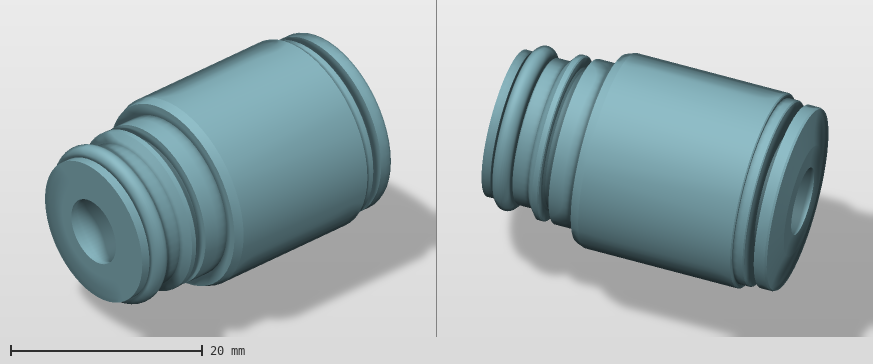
import cadquery as cq

bore_dia = 7.3
plug_dia = 15.9
seal_groove_dia = 13.0
seal_ring_dia = 17.8
shoulder_dia = 17.9
clip_groove_dia = 15.0
body_dia = 21.1
body_chamfer_dia = 20.4
collar_dia = 20.1
neck_dia = 13.4
neck_root_dia = 13.93
button_dia = 19.8
button_face_dia = 12.0

seal_groove_start = 0.98
seal_groove_end = 3.37
cone_start = 5.1
cone_end = 5.92
clip_groove_start = 6.6
clip_groove_end = 7.75
body_start = 10.63
body_chamfer_end = 11.58
body_end = 28.48
collar_end = 29.7
button_start = 30.75
button_rim_round_start = 31.9
button_rim_end = 32.15
length = 32.7

button_rim_inset = 0.1
neck_flare_length = 0.43
clip_groove_flare = 0.23
seal_ring_width = 1.83
edge_break = 0.13

center_y = length / 2


def revolve_about_axis(profile):
    return profile.close().revolve(360, (0, 0, 0), (0, 1, 0))


def make_body():
    """Solid turned body, given as (diameter, station) from plug face to button face."""
    steps = [
        (0, 0),
        (plug_dia, 0),
        (plug_dia, seal_groove_start),
        (seal_groove_dia, seal_groove_start),
        (seal_groove_dia, seal_groove_end),
        (plug_dia - 2 * edge_break, seal_groove_end),
        (plug_dia, seal_groove_end + edge_break),
        (plug_dia, cone_start),
        (shoulder_dia, cone_end),
        (shoulder_dia, clip_groove_start - edge_break),
        (shoulder_dia - 2 * edge_break, clip_groove_start),
        (clip_groove_dia + 2 * clip_groove_flare, clip_groove_start),
        (clip_groove_dia, clip_groove_start + clip_groove_flare),
        (clip_groove_dia, clip_groove_end - clip_groove_flare),
        (clip_groove_dia + 2 * clip_groove_flare, clip_groove_end),
        (shoulder_dia, clip_groove_end),
        (shoulder_dia, body_start),
        (body_chamfer_dia, body_start),
        (body_dia, body_chamfer_end),
        (body_dia, body_end - edge_break),
        (body_dia - 2 * edge_break, body_end),
        (collar_dia, body_end),
        (collar_dia, collar_end - edge_break),
        (collar_dia - 2 * edge_break, collar_end),
        (neck_dia, collar_end),
        (neck_dia, button_start - neck_flare_length),
        (neck_root_dia, button_start),
        (button_dia, button_start),
        (button_dia, button_rim_round_start),
        (button_dia - 2 * button_rim_inset, button_rim_end),
        (button_face_dia, length),
        (0, length),
    ]
    points = [(diameter / 2, station - center_y) for diameter, station in steps]
    return revolve_about_axis(cq.Workplane("XY").polyline(points))


def make_seal_ring():
    """Sealing ring with a half-round crown and straight flanks down to the groove floor."""
    crown_radius = seal_ring_width / 2
    outer_radius = seal_ring_dia / 2
    flank_radius = outer_radius - crown_radius
    floor_radius = seal_groove_dia / 2
    middle_y = (seal_groove_start + seal_groove_end) / 2 - center_y
    front_y = middle_y - crown_radius
    rear_y = middle_y + crown_radius
    profile = (
        cq.Workplane("XY")
        .moveTo(floor_radius, front_y)
        .lineTo(flank_radius, front_y)
        .threePointArc((outer_radius, middle_y), (flank_radius, rear_y))
        .lineTo(floor_radius, rear_y)
    )
    return revolve_about_axis(profile)


def make_bore():
    return cq.Workplane("XZ").circle(bore_dia / 2).extrude(length, both=True)


result = make_body().union(make_seal_ring()).cut(make_bore())